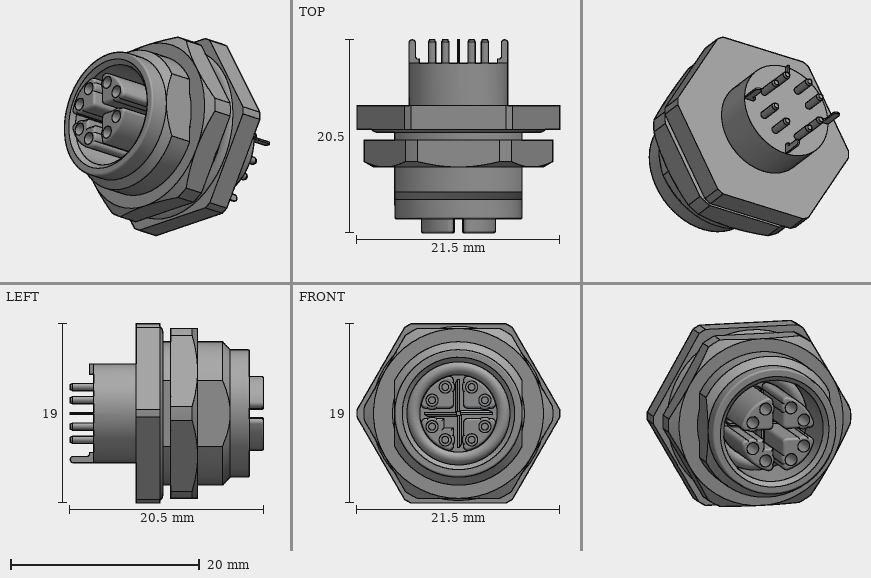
import cadquery as cq
import math


nose_front = 1.5
nose_back = 3.55
cone_back = 4.36
nut_front = 7.0
nut_back = 9.85
ring_front = 10.66
flange_front = 10.99
flange_back = 13.5
body_back = 18.02
overall_length = 20.5
cavity_floor = 8.6

nose_radius = 13.5 / 2
nose_round = 0.2
thread_radius = 15.2 / 2
rear_radius = 10.5 / 2
cavity_radius = 10.92 / 2
mouth_radius = 5.95
mouth_depth = 0.5
inner_seal_bore = 8.2 / 2
outer_seal_bore = 15.6 / 2
outer_seal_radius = 9.22

flange_across_flats = 19.0
flange_corner_diameter = 21.5
nut_across_flats = 18.0
nut_corner_diameter = 20.0
nut_bore_radius = 6.99
nut_chamfer_angle = 30.0

quadrant_radius = 4.06
quadrant_offset = 0.54
quadrant_corner_round = 0.45
quadrant_front_round = 0.25
contact_near = 1.4
contact_far = 2.8
sleeve_radius = 0.99
sleeve_limit_radius = 3.76
socket_diameter = 1.3
socket_depth = 4.3
contact_bore_diameter = 0.73
contact_bore_depth = 5.6
key_notch_edge = 1.53

blade_thickness = 0.22
blade_start = 0.22
blade_end = 3.6
blade_height = 2.15
bevel_width = 0.2
bevel_end = 3.27

pin_diameter = 0.8
pin_tip_diameter = 0.54
pin_tip_length = 0.25
tail_thickness = 0.2
tail_width = 0.7
foot_width = 1.12
foot_height = 0.45
foot_chamfer = 0.15

contacts_per_quadrant = [(contact_near, contact_far), (contact_far, contact_near)]
quadrant_signs = [(1, 1), (-1, 1), (-1, -1), (1, -1)]


def section(y):
    """Workplane across the axis at y, with local coordinates (X, Z)."""
    return cq.Workplane(cq.Plane(origin=(0, y, 0), xDir=(1, 0, 0), normal=(0, -1, 0)))


def revolve_about_axis(profile):
    """Revolve a closed (radius, y) profile about the Y axis."""
    return profile.close().revolve(360, (0, 0, 0), (0, 1, 0))


def along(sketch, length):
    """Extrude a section towards +Y."""
    return sketch.extrude(-length)


def turned(part, angle):
    """Rotate a part about the Y axis; +90 degrees carries +X to -Z."""
    return part.rotate((0, 0, 0), (0, 1, 0), angle)


def rounded_hexagon(front, back, across_flats, corner_diameter):
    """Hexagonal prism, flats facing +/-Z, with its six corners turned to a diameter."""
    length = back - front
    hexagon = along(section(front).polygon(6, across_flats, circumscribed=True), length)
    corner_trim = along(section(front).circle(corner_diameter / 2), length)
    return turned(hexagon, 30).intersect(corner_trim)


def shell():
    """Turned body: rear barrel, threaded barrel, nose and the front cavity with its seal."""
    seal_middle = (inner_seal_bore + cavity_radius) / 2
    seal_tube_radius = (cavity_radius - inner_seal_bore) / 2
    profile = (
        cq.Workplane("XY")
        .moveTo(0, cavity_floor)
        .lineTo(inner_seal_bore, cavity_floor)
        .threePointArc((seal_middle, cavity_floor - seal_tube_radius), (cavity_radius, cavity_floor))
        .lineTo(cavity_radius, nose_front + mouth_depth)
        .lineTo(mouth_radius, nose_front)
        .lineTo(nose_radius - nose_round, nose_front)
        .radiusArc((nose_radius, nose_front + nose_round), -nose_round)
        .lineTo(nose_radius, nose_back)
        .lineTo(thread_radius, cone_back)
        .lineTo(thread_radius, flange_back)
        .lineTo(rear_radius, flange_back)
        .lineTo(rear_radius, body_back)
        .lineTo(0, body_back)
    )
    body = revolve_about_axis(profile)

    flat_length = flange_back - nose_back
    flat_depth = thread_radius - nose_radius
    flat_center = nose_radius + flat_depth / 2
    flats = section(nose_back).pushPoints([(flat_center, 0), (-flat_center, 0)])
    return body.cut(along(flats.rect(flat_depth, 2 * thread_radius), flat_length))


def flange():
    """Hexagonal flange with a sealing ring standing proud of its front face."""
    seal_middle = (outer_seal_bore + outer_seal_radius) / 2
    ring = revolve_about_axis(
        cq.Workplane("XY")
        .moveTo(outer_seal_bore, flange_back)
        .lineTo(outer_seal_bore, flange_front)
        .threePointArc((seal_middle, ring_front), (outer_seal_radius, flange_front))
        .lineTo(outer_seal_radius, flange_back)
    )
    plate = rounded_hexagon(flange_front, flange_back, flange_across_flats, flange_corner_diameter)
    return plate.union(ring)


def nut():
    """Hexagonal nut, chamfered by a cone on its front face."""
    face_radius = nut_across_flats / 2
    length = nut_back - nut_front
    cone_radius = face_radius + length / math.tan(math.radians(nut_chamfer_angle))
    cone = revolve_about_axis(
        cq.Workplane("XY")
        .moveTo(nut_bore_radius, nut_front)
        .lineTo(face_radius, nut_front)
        .lineTo(cone_radius, nut_back)
        .lineTo(nut_bore_radius, nut_back)
    )
    return rounded_hexagon(nut_front, nut_back, nut_across_flats, nut_corner_diameter).intersect(cone)


def quadrant(sign_x, sign_z, keyed):
    """One quarter of the contact carrier, from the mating face to the cavity floor."""
    side = quadrant_radius
    center = quadrant_offset + side / 2
    block = along(section(0).center(center, center).rect(side, side), cavity_floor)
    block = block.intersect(along(section(0).circle(quadrant_radius), cavity_floor))
    rounded_edges = ">X or >Z" if keyed else "|Y"
    block = block.edges("|Y").edges(rounded_edges).fillet(quadrant_corner_round)
    if keyed:
        notch = along(section(0).rect(2 * key_notch_edge, 2 * key_notch_edge), cavity_floor)
        block = block.cut(notch)

    sleeves = along(section(0).pushPoints(contacts_per_quadrant).circle(sleeve_radius), cavity_floor)
    sleeve_limit = along(section(0).circle(sleeve_limit_radius), cavity_floor)
    block = block.union(sleeves.intersect(sleeve_limit))
    block = block.faces("<Y").edges().fillet(quadrant_front_round)

    sockets = section(0).pushPoints(contacts_per_quadrant).circle(socket_diameter / 2)
    contact_bores = section(0).pushPoints(contacts_per_quadrant).circle(contact_bore_diameter / 2)
    block = block.cut(along(sockets, socket_depth)).cut(along(contact_bores, contact_bore_depth))
    if sign_x < 0:
        block = block.mirror("YZ")
    if sign_z < 0:
        block = block.mirror("XY")
    return block


def blade(angle):
    """Radial shield blade on the cavity floor with a bevelled shoulder along one side."""
    half = blade_thickness / 2
    top = cavity_floor - blade_height
    shoulder = -half - bevel_width
    plan = along(
        section(top)
        .moveTo(half, blade_start)
        .lineTo(half, blade_end)
        .lineTo(-half, blade_end)
        .lineTo(shoulder, bevel_end)
        .lineTo(shoulder, blade_start)
        .close(),
        body_back - top,
    )
    profile = (
        cq.Workplane("XY")
        .moveTo(half, top)
        .lineTo(-half, top)
        .lineTo(shoulder, top + bevel_width)
        .lineTo(shoulder, body_back)
        .lineTo(half, body_back)
        .close()
        .extrude(blade_end)
    )
    return turned(plan.intersect(profile), angle)


def solder_pins():
    """Round pins with tapered tips behind every contact."""
    shaft_end = overall_length - pin_tip_length
    pin = revolve_about_axis(
        cq.Workplane("XY")
        .moveTo(0, body_back)
        .lineTo(pin_diameter / 2, body_back)
        .lineTo(pin_diameter / 2, shaft_end)
        .lineTo(pin_tip_diameter / 2, overall_length)
        .lineTo(0, overall_length)
    )
    pins = cq.Workplane("XY")
    for sign_x, sign_z in quadrant_signs:
        for x, z in contacts_per_quadrant:
            pins = pins.add(pin.translate((sign_x * x, 0, sign_z * z)))
    return pins.combine()


def foot():
    """Short sheet-metal stub flush with the rim of the rear barrel, on the +X side."""
    return (
        cq.Workplane("XY")
        .moveTo(rear_radius - foot_width, body_back)
        .lineTo(rear_radius - foot_width, body_back + foot_height)
        .lineTo(rear_radius, body_back + foot_height)
        .lineTo(rear_radius, body_back)
        .close()
        .extrude(tail_thickness / 2, both=True)
    )


def tail():
    """Round-ended sheet-metal solder tail rising from a foot, on the +X side."""
    inner = rear_radius - tail_width
    foot_top = body_back + foot_height
    round_start = overall_length - tail_width / 2
    leg = (
        cq.Workplane("XY")
        .moveTo(rear_radius, body_back)
        .lineTo(rear_radius, round_start)
        .threePointArc((rear_radius - tail_width / 2, overall_length), (inner, round_start))
        .lineTo(inner, foot_top + foot_chamfer)
        .lineTo(inner - foot_chamfer, foot_top)
        .lineTo(inner - foot_chamfer, body_back)
        .close()
        .extrude(tail_thickness / 2, both=True)
    )
    return leg.union(foot())


result = shell().union(flange()).union(nut())
for sign_x, sign_z in quadrant_signs:
    is_keyed = sign_x < 0 and sign_z < 0
    result = result.union(quadrant(sign_x, sign_z, is_keyed))
for angle in (0, 90, 180, 270):
    result = result.union(blade(angle))
result = result.union(solder_pins())
for angle in (0, 90, 180):
    result = result.union(turned(tail(), angle))
result = result.union(turned(foot(), 270))